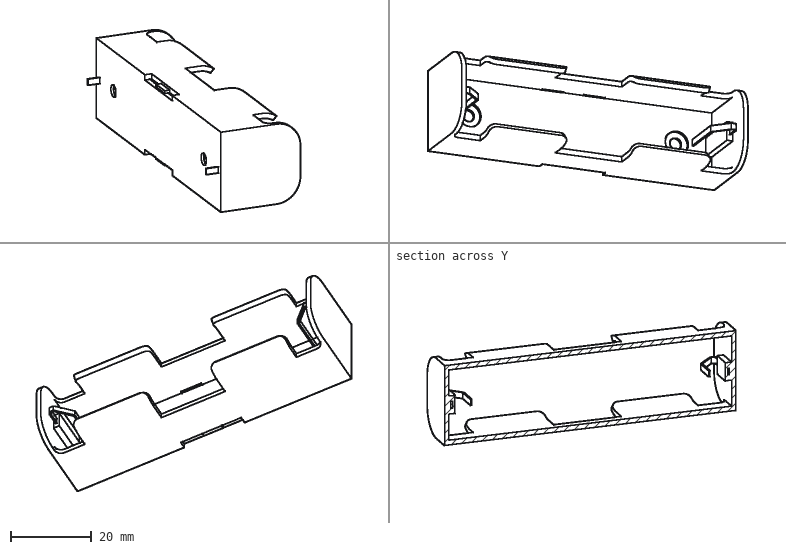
import cadquery as cq
import math

LENGTH = 76.95
WIDTH = 21.0
HEIGHT = 21.55
CORNER_RADIUS = 6.5
SIDE_WALL = 1.4
END_WALL = 1.2
FLOOR = 1.4

CENTRE_GAP_HALF = 8.9
CENTRE_RIM_HEIGHT = 11.15
GRIP_OUTER_X = 29.7
GRIP_TIP_HEIGHT = 19.5
GRIP_CORNER_RADIUS = 1.8
END_RIM_HEIGHT = 12.55
END_RIM_RADIUS = 1.85

BLOCK_LENGTH = 1.6
BLOCK_HEIGHT = 14.85
BLOCK_WIDTH = 4.85

HOLE_DIAMETER = 3.1
HOLE_OFFSET = 27.85
RECESS_DIAMETER = 6.15
RECESS_DEPTH = 0.7

SLOT_LENGTH = 16.9
SLOT_HEIGHT = 1.85
BRIDGE_LENGTH = 5.4
BRIDGE_BOTTOM = 0.5
BRIDGE_INSET = 0.7

STRIP_THICKNESS = 0.4
STRIP_WIDTH = 1.6
STRIP_INSET = 1.8
PIN_LENGTH = 3.15
STRIP_TOP = 18.8
BEND_RADIUS = 0.8
SLOPE_START = 3.2
LEG_INNER_FACE = 7.2
LEG_BOTTOM = 3.1

HALF_LENGTH = LENGTH / 2
HALF_WIDTH = WIDTH / 2

ARC_CENTRE_Y = HEIGHT - CORNER_RADIUS
ARC_CENTRE_Z = HALF_WIDTH - CORNER_RADIUS
TIP_ANGLE = math.asin((GRIP_TIP_HEIGHT - ARC_CENTRE_Y) / CORNER_RADIUS)


def rounded_profile(width, bottom, top, radius):
    """YZ profile with a flat bottom and two rounded upper corners."""
    half = width / 2
    return (
        cq.Workplane("YZ")
        .moveTo(bottom, -half)
        .lineTo(top - radius, -half)
        .radiusArc((top, -half + radius), -radius)
        .lineTo(top, half - radius)
        .radiusArc((top - radius, half), -radius)
        .lineTo(bottom, half)
        .close()
    )


def grip_opening(length):
    """Wedge over the cavity whose radial sides end the curved grips."""
    outer_z = ARC_CENTRE_Z + CORNER_RADIUS / math.tan(TIP_ANGLE)
    return (
        cq.Workplane("YZ")
        .polyline([
            (ARC_CENTRE_Y, -ARC_CENTRE_Z),
            (HEIGHT, -outer_z),
            (HEIGHT, outer_z),
            (ARC_CENTRE_Y, ARC_CENTRE_Z),
        ])
        .close()
        .extrude(length / 2, both=True)
    )


def round_grip_corners(housing):
    """Fillet the short radial edges at both ends of every grip tip."""
    mid_radius = CORNER_RADIUS - SIDE_WALL / 2
    tip_y = ARC_CENTRE_Y + mid_radius * math.sin(TIP_ANGLE)
    tip_z = ARC_CENTRE_Z + mid_radius * math.cos(TIP_ANGLE)
    for x in (CENTRE_GAP_HALF, GRIP_OUTER_X):
        for x_side in (-1, 1):
            for z_side in (-1, 1):
                corner = cq.selectors.NearestToPointSelector((x_side * x, tip_y, z_side * tip_z))
                housing = housing.edges(corner).fillet(GRIP_CORNER_RADIUS)
    return housing


def rim_envelope():
    """XY outline of the side walls and end walls, extruded across the width."""
    end_inner = HALF_LENGTH - END_WALL
    half = (
        cq.Workplane("XY")
        .moveTo(0, 0)
        .lineTo(HALF_LENGTH, 0)
        .lineTo(HALF_LENGTH, HEIGHT)
        .lineTo(end_inner, HEIGHT)
        .lineTo(end_inner, END_RIM_HEIGHT + END_RIM_RADIUS)
        .radiusArc((end_inner - END_RIM_RADIUS, END_RIM_HEIGHT), END_RIM_RADIUS)
        .lineTo(GRIP_OUTER_X, END_RIM_HEIGHT)
        .lineTo(GRIP_OUTER_X, HEIGHT)
        .lineTo(CENTRE_GAP_HALF, HEIGHT)
        .lineTo(CENTRE_GAP_HALF, CENTRE_RIM_HEIGHT)
        .lineTo(0, CENTRE_RIM_HEIGHT)
        .close()
        .extrude(HALF_WIDTH, both=True)
    )
    return half.union(half.mirror("YZ"))


def box(x_range, y_range, z_range):
    """Axis-aligned box given by its limits on each axis."""
    sizes = [high - low for low, high in (x_range, y_range, z_range)]
    corner = (x_range[0], y_range[0], z_range[0])
    return cq.Workplane("XY").box(*sizes, centered=False).translate(corner)


def make_contact(side):
    """Strip with a solder pin, folded over at the top into a sloping free leg."""
    half_thickness = STRIP_THICKNESS / 2
    mid_x = HALF_LENGTH - STRIP_INSET - half_thickness
    mid_top = STRIP_TOP - half_thickness
    mid_radius = BEND_RADIUS - half_thickness
    slope_x = HALF_LENGTH - SLOPE_START
    leg_x = HALF_LENGTH - LEG_INNER_FACE + half_thickness
    leg_top = mid_top - (slope_x - leg_x)
    path = (
        cq.Workplane("XY")
        .moveTo(mid_x, -PIN_LENGTH)
        .lineTo(mid_x, mid_top - mid_radius)
        .radiusArc((mid_x - mid_radius, mid_top), -mid_radius)
        .lineTo(slope_x, mid_top)
        .lineTo(leg_x, leg_top)
        .lineTo(leg_x, LEG_BOTTOM)
    )
    strip = (
        cq.Workplane("XZ", origin=(mid_x, -PIN_LENGTH, 0))
        .rect(STRIP_THICKNESS, STRIP_WIDTH)
        .sweep(path, transition="right")
    )
    if side < 0:
        strip = strip.mirror("YZ")
    return strip


def make_block(side):
    """Block on the end wall that surrounds the upright part of a contact."""
    wall_face = HALF_LENGTH - END_WALL
    block_x = sorted((side * wall_face, side * (wall_face - BLOCK_LENGTH)))
    return box(block_x, (FLOOR, BLOCK_HEIGHT), (-BLOCK_WIDTH / 2, BLOCK_WIDTH / 2))


def make_screw_hole(side):
    """Hole through the floor with a wider recess for the screw head."""
    floor_top = cq.Workplane("XZ", origin=(side * HOLE_OFFSET, FLOOR, 0))
    hole = floor_top.circle(HOLE_DIAMETER / 2).extrude(FLOOR)
    recess = floor_top.circle(RECESS_DIAMETER / 2).extrude(RECESS_DEPTH)
    return hole.union(recess)


def make_slot(side):
    """Slot along a long lower edge, as deep as the side wall is thick."""
    slot_z = sorted((side * (HALF_WIDTH - SIDE_WALL), side * HALF_WIDTH))
    return box((-SLOT_LENGTH / 2, SLOT_LENGTH / 2), (0, SLOT_HEIGHT), slot_z)


def make_bridge(side):
    """Short bridge that joins the floor to the side wall inside a slot."""
    bridge_z = sorted((side * (HALF_WIDTH - SIDE_WALL), side * (HALF_WIDTH - BRIDGE_INSET)))
    return box((-BRIDGE_LENGTH / 2, BRIDGE_LENGTH / 2), (BRIDGE_BOTTOM, SLOT_HEIGHT), bridge_z)


def make_housing(contacts):
    """Open-topped cell holder with rounded ends and curved grips."""
    cavity_length = LENGTH - 2 * END_WALL
    outer = rounded_profile(WIDTH, 0, HEIGHT, CORNER_RADIUS)
    inner = rounded_profile(
        WIDTH - 2 * SIDE_WALL, FLOOR, HEIGHT - SIDE_WALL, CORNER_RADIUS - SIDE_WALL
    )
    housing = (
        outer.extrude(HALF_LENGTH, both=True)
        .cut(inner.extrude(cavity_length / 2, both=True))
        .cut(grip_opening(cavity_length))
        .intersect(rim_envelope())
    )
    housing = round_grip_corners(housing)

    for side in (-1, 1):
        housing = housing.union(make_block(side))
        housing = housing.cut(make_screw_hole(side))
        housing = housing.cut(make_slot(side))
        housing = housing.union(make_bridge(side))

    for contact in contacts:
        housing = housing.cut(contact)
    return housing


contacts = [make_contact(side) for side in (-1, 1)]
housing = make_housing(contacts)

result = cq.Compound.makeCompound([housing.val(), *[contact.val() for contact in contacts]])